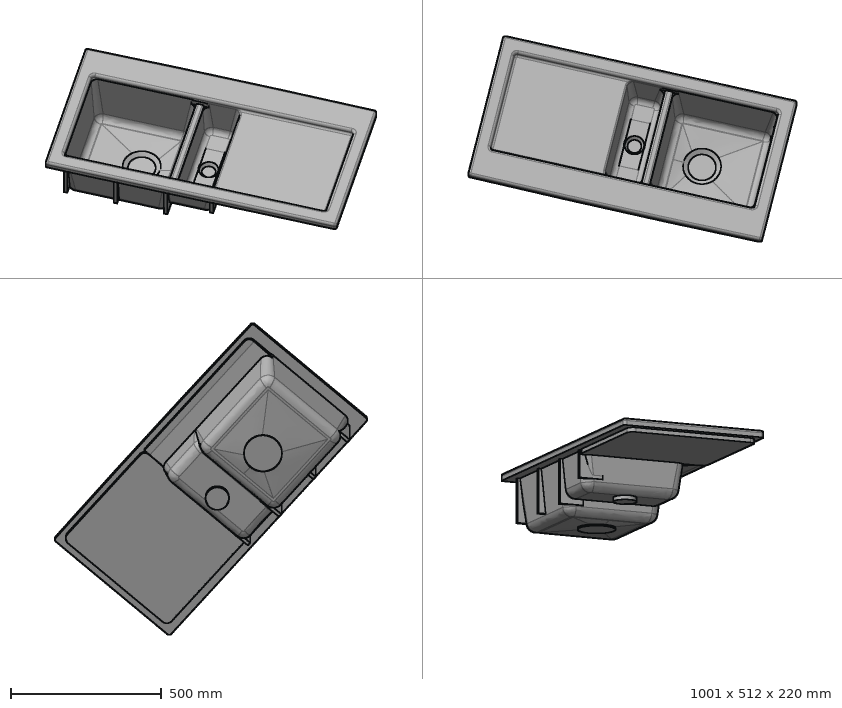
import cadquery as cq
import math

length = 1001.0
width = 512.0
total_depth = 220.0

tolerance = 0.1

rim_thickness = 24.0
rim_edge_radius = 8.0
rim_corner_radius = 9.0
rim_back_bow = 3.0

wall = 15.0
draft_slope = math.tan(math.radians(6.0))
inner_corner_radius = 17.0
outer_corner_radius = 27.0
corner_widening = 8.0

recess_left = -449.0
recess_right = 449.0
recess_front = -203.0
recess_back = 146.0
recess_corner_radius = 9.0
mouth_radius = 10.0
recess_floor_radius = 7.0

drainer_depth = 18.0
drainer_edge_radius = 6.0
drainer_bottom = -39.0
drainer_left = 65.0
slab_right = 474.0
slab_front = -224.0
slab_back = 235.0
slab_corner_radius = 22.0

ledge_left = -460.0
ledge_flat_bottom = -38.0
ledge_slope_start = 212.0
ledge_low_bottom = -47.0
ledge_low_y = 130.0

divider_left = -88.0
divider_right = -67.0
divider_top = -30.0
divider_radius = 7.0
divider_notch_reach = 20.0

drain_y = -29.0

main_floor = -192.0
main_floor_radius = 24.0
main_underside_radius = 32.0
main_dish_margin = 2.0
main_sag = 8.0
main_drain_x = -230.0
main_drain_radius = 63.0
main_drain_bore = 46.0
main_drain_depth = 10.0

small_floor = -141.0
small_floor_radius = 20.0
small_underside_radius = 34.0
small_floor_half_width = 33.0
small_sag = 4.0
small_sag_back = 54.0
small_sag_front = -115.0
small_drain_x = 0.0
small_drain_radius = 35.0
small_drain_bore = 23.0
small_drain_depth = 14.0
small_boss_radius = 39.0
small_boss_bottom = -170.0

rib_thickness = 12.0
rib_front = slab_front
rib_back = -140.0
main_rib_bottom = -175.0
small_rib_bottom = -117.0
main_rib_x = (-438.0, -267.0, -94.0)
small_rib_x = 63.0


def rounded_block(x0, x1, y0, y1, z_top, z_bottom, radius):
    """Box with rounded vertical corners."""
    return (
        cq.Workplane("XY", origin=((x0 + x1) / 2, (y0 + y1) / 2, z_bottom))
        .rect(x1 - x0, y1 - y0)
        .extrude(z_top - z_bottom)
        .edges("|Z")
        .fillet(radius)
    )


def bowl_body(x0, x1, offset, depth, corner_radius, floor_radius):
    """Drafted bowl form below Z = 0, its plan grown outwards by the offset."""
    size_x = x1 - x0 + 2 * offset
    size_y = recess_back - recess_front + 2 * offset
    narrowing = 2 * depth * draft_slope
    top_plan = cq.Sketch().rect(size_x, size_y).vertices().fillet(corner_radius)
    floor_plan = (
        cq.Sketch()
        .rect(size_x - narrowing, size_y - narrowing)
        .vertices()
        .fillet(corner_radius + corner_widening)
    )
    return (
        cq.Workplane("XY", origin=((x0 + x1) / 2, (recess_front + recess_back) / 2, 0))
        .placeSketch(top_plan, floor_plan.moved(cq.Location(cq.Vector(0, 0, -depth))))
        .loft(ruled=True)
        .faces("<Z")
        .edges()
        .fillet(floor_radius)
    )


def main_floor_dish(z):
    """Shallow funnel from the flat floor of the main bowl down to its drain."""
    fillet_reach = main_floor_radius * math.tan(math.radians(45) - math.atan(draft_slope) / 2)
    inset = -main_floor * draft_slope + fillet_reach + main_dish_margin
    x0 = recess_left + inset
    x1 = divider_left - inset
    y0 = recess_front + inset
    y1 = recess_back - inset
    return (
        cq.Workplane("XY", origin=(0, 0, z))
        .center((x0 + x1) / 2, (y0 + y1) / 2)
        .rect(x1 - x0, y1 - y0)
        .workplane(offset=-main_sag, origin=(main_drain_x, drain_y, z))
        .circle(main_drain_radius)
        .loft(combine=True)
    )


def small_floor_trough(z, half_width):
    """Shallow V across the small bowl, lowest at the drain."""
    return (
        cq.Workplane("YZ", origin=(small_drain_x - half_width, 0, 0))
        .polyline([(small_sag_front, z), (drain_y, z - small_sag), (small_sag_back, z)])
        .close()
        .extrude(2 * half_width)
    )


def drain_recess(x, z_top, radius, bore, depth):
    """Conical drain seat narrowing to a flat bottom."""
    return (
        cq.Workplane("XY", origin=(x, drain_y, z_top))
        .circle(radius)
        .workplane(offset=-depth)
        .circle(bore)
        .loft(combine=True)
    )


def boss(x, radius, z_bottom, z_top):
    """Round drain outlet under a bowl."""
    return cq.Workplane("XY", origin=(x, drain_y, z_bottom)).circle(radius).extrude(z_top - z_bottom)


def rib(x, z_bottom):
    """Upright plate on the front wall, hanging from the rim."""
    return cq.Workplane("XY").box(
        rib_thickness, rib_back - rib_front, -z_bottom, centered=(True, False, False)
    ).translate((x, rib_front, z_bottom))


rim = (
    cq.Workplane("XY")
    .moveTo(-length / 2, -width / 2)
    .lineTo(length / 2, -width / 2)
    .lineTo(length / 2, width / 2 - rim_back_bow)
    .threePointArc((0, width / 2), (-length / 2, width / 2 - rim_back_bow))
    .close()
    .extrude(-rim_thickness)
    .edges("|Z")
    .fillet(rim_corner_radius)
    .faces(">Z")
    .edges()
    .fillet(rim_edge_radius)
)

drainer_slab = rounded_block(
    drainer_left, slab_right, slab_front, slab_back, -rim_thickness / 2, drainer_bottom, slab_corner_radius
)

ledge = (
    cq.Workplane("YZ", origin=(ledge_left, 0, 0))
    .moveTo(slab_back, -rim_thickness / 2)
    .lineTo(slab_back, ledge_flat_bottom)
    .lineTo(ledge_slope_start, ledge_flat_bottom)
    .lineTo(ledge_low_y, ledge_low_bottom)
    .lineTo(ledge_low_y, -rim_thickness / 2)
    .close()
    .extrude(drainer_left - ledge_left)
    .edges("|Z and >Y and <X")
    .fillet(slab_corner_radius)
)

main_outer = bowl_body(
    recess_left, divider_left, wall, wall - main_floor, outer_corner_radius, main_underside_radius
)
small_outer = bowl_body(
    divider_left - outer_corner_radius, drainer_left, wall, wall - small_floor,
    outer_corner_radius, small_underside_radius,
)

body = rim.union(drainer_slab).union(ledge).union(main_outer).union(small_outer)
body = body.union(main_floor_dish(main_floor - wall))
body = body.union(boss(main_drain_x, main_drain_radius, -total_depth, main_floor))
body = body.union(boss(small_drain_x, small_boss_radius, small_boss_bottom, small_floor))
for rib_x in main_rib_x:
    body = body.union(rib(rib_x, main_rib_bottom))
body = body.union(rib(small_rib_x, small_rib_bottom))

main_cavity = bowl_body(
    recess_left, divider_left, 0, -main_floor, inner_corner_radius, main_floor_radius
).union(main_floor_dish(main_floor))
small_cavity = bowl_body(
    divider_right, drainer_left, 0, -small_floor, inner_corner_radius, small_floor_radius
).union(small_floor_trough(small_floor, small_floor_half_width))
drainer_recess = rounded_block(
    recess_left, recess_right, recess_front, recess_back, 0, -drainer_depth, recess_corner_radius
).faces("<Z").edges().fillet(recess_floor_radius)
divider_inset = -divider_top * draft_slope
divider_notch = (
    cq.Workplane("XZ", origin=(0, recess_back - divider_inset, 0))
    .moveTo(divider_left - divider_notch_reach, 0)
    .lineTo(divider_left - divider_notch_reach, divider_top - divider_radius)
    .lineTo(divider_left - divider_inset, divider_top - divider_radius)
    .radiusArc((divider_left - divider_inset + divider_radius, divider_top), divider_radius)
    .lineTo(divider_right + divider_inset - divider_radius, divider_top)
    .radiusArc((divider_right + divider_inset, divider_top - divider_radius), divider_radius)
    .lineTo(divider_right + divider_notch_reach, divider_top - divider_radius)
    .lineTo(divider_right + divider_notch_reach, 0)
    .close()
    .extrude(recess_back - recess_front - 2 * divider_inset)
)

body = body.cut(drainer_recess).cut(main_cavity).cut(small_cavity).cut(divider_notch)
body = body.cut(drain_recess(
    main_drain_x, main_floor - main_sag, main_drain_radius, main_drain_bore, main_drain_depth))
body = body.cut(drain_recess(
    small_drain_x, small_floor, small_drain_radius, small_drain_bore, small_drain_depth))

mouth_edges = cq.selectors.BoxSelector(
    (recess_left - tolerance, recess_front - tolerance, -tolerance),
    (recess_right + tolerance, recess_back + tolerance, tolerance),
)
body = body.edges(mouth_edges).fillet(mouth_radius)
drainer_edge = cq.selectors.BoxSelector(
    (drainer_left - drainer_depth, recess_front / 2, -drainer_depth - tolerance),
    (drainer_left + tolerance, recess_back / 2, -drainer_depth + tolerance),
)
result = body.edges(drainer_edge).fillet(drainer_edge_radius).solids()